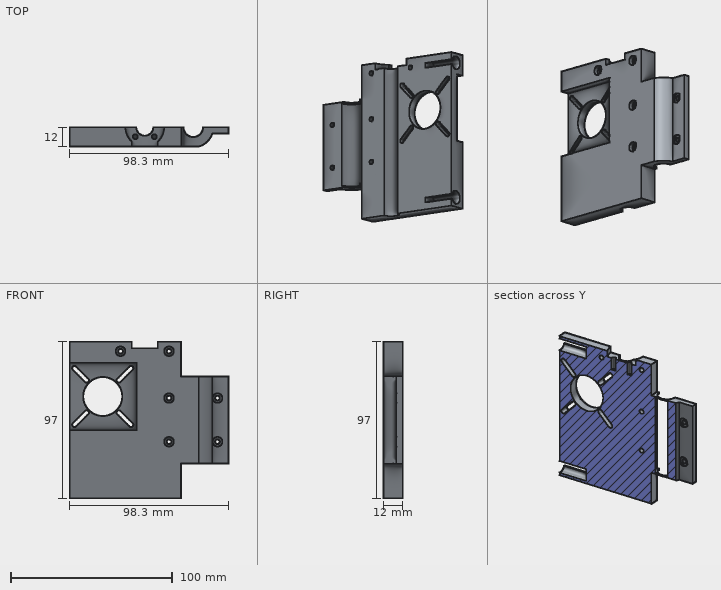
import cadquery as cq
import math

plate_width = 69.0
plate_height = 97.0
thickness = 12.0
overall_width = 98.34

wing_height = 54.0
wing_bottom = (plate_height - wing_height) / 2
wing_top = wing_bottom + wing_height
flange_thickness = 4.0
flange_front_y = thickness - flange_thickness
bearing_x = 76.5
bearing_shell_radius = 12.5
bearing_bore_diameter = 15.0
bearing_lip_diameter = 12.0
bearing_lip_height = 1.0

screw_x = 46.5
screw_groove_diameter = 10.4
nut_recess_diameter = 24.0
nut_recess_width = 16.0
nut_recess_depth = 4.0
nut_bolt_circle_diameter = 16.6
nut_bolt_hole_diameter = 3.0
nut_bolt_hole_depth = 8.0

motor_x = 20.5
motor_z = 63.0
motor_size = 42.0
motor_floor_thickness = 6.0
motor_bore_diameter = 24.0
slot_width = 2.8
slot_inner_offset = 10.0
slot_outer_offset = 17.5

rod_diameter = 8.2
rod_edge_distance = 6.0
rod_y = thickness - 4.8
rod_socket_depth = 20.0
rod_slit_width = 3.0

clamp_offset = 15.0
clamp_hole_diameter = 2.8
clamp_head_diameter = 6.0
plate_head_depth = 3.0
flange_head_depth = 1.0
clamp_top_z = plate_height - 6.0
clamp_upper_z = 62.0
clamp_lower_z = 35.0
plate_clamp_positions = [
    (screw_x - clamp_offset, clamp_top_z),
    (screw_x + clamp_offset, clamp_top_z),
    (bearing_x - clamp_offset, clamp_upper_z),
    (bearing_x - clamp_offset, clamp_lower_z),
]
flange_clamp_positions = [
    (bearing_x + clamp_offset, clamp_upper_z),
    (bearing_x + clamp_offset, clamp_lower_z),
]


def box(x_min, x_max, y_min, y_max, z_min, z_max):
    """Box between the given limits."""
    size = (x_max - x_min, y_max - y_min, z_max - z_min)
    return cq.Workplane("XY").box(*size, centered=False).translate((x_min, y_min, z_min))


def cylinder_x(diameter, length, y, z):
    """Cylinder along +X that starts at the left side."""
    return cq.Workplane("YZ").center(y, z).circle(diameter / 2).extrude(length)


def cylinder_y(diameter, x, z, y_min, y_max):
    """Cylinder along Y between two depths."""
    front = cq.Workplane("XZ", origin=(x, y_min, z))
    return front.circle(diameter / 2).extrude(y_min - y_max)


def cylinder_z(diameter, x, y, z_min, z_max):
    """Cylinder along Z between two heights."""
    base = cq.Workplane("XY", origin=(x, y, z_min))
    return base.circle(diameter / 2).extrude(z_max - z_min)


def make_wing():
    """Rounded bearing shell with a thin screw flange, flush with the back face."""
    shell = cylinder_z(2 * bearing_shell_radius, bearing_x, thickness, wing_bottom, wing_top)
    shell_limits = box(plate_width, overall_width, 0, thickness, wing_bottom, wing_top)
    shell = shell.intersect(shell_limits)
    web = box(plate_width, bearing_x, 0, thickness, wing_bottom, wing_top)
    flange = box(bearing_x, overall_width, flange_front_y, thickness, wing_bottom, wing_top)
    return shell.union(web).union(flange)


def make_bearing_seat():
    """Bearing bore between two end lips, with a smaller bore through the lips."""
    seat_bottom = wing_bottom + bearing_lip_height
    seat_top = wing_top - bearing_lip_height
    bore = cylinder_z(bearing_bore_diameter, bearing_x, thickness, seat_bottom, seat_top)
    lip_bore = cylinder_z(bearing_lip_diameter, bearing_x, thickness, wing_bottom, wing_top)
    return bore.union(lip_bore)


def make_screw_recess():
    """Lead screw groove over the full height, nut recess and nut bolt holes at the top."""
    groove = cylinder_z(screw_groove_diameter, screw_x, thickness, 0, plate_height)
    floor_z = plate_height - nut_recess_depth
    recess = cylinder_z(nut_recess_diameter, screw_x, thickness, floor_z, plate_height)
    half_width = nut_recess_width / 2
    slot = box(screw_x - half_width, screw_x + half_width, 0, thickness, floor_z, plate_height)
    cutter = groove.union(recess).union(slot)
    bolt_offset = nut_bolt_circle_diameter / 2 * math.sqrt(0.5)
    for side in (-1, 1):
        hole_x = screw_x + side * bolt_offset
        hole_y = thickness - bolt_offset
        hole_bottom = floor_z - nut_bolt_hole_depth
        cutter = cutter.union(cylinder_z(nut_bolt_hole_diameter, hole_x, hole_y, hole_bottom, floor_z))
    return cutter


def make_motor_mount():
    """Square pocket, round bore and four diagonal adjustment slots."""
    half_size = motor_size / 2
    pocket_depth = thickness - motor_floor_thickness
    cutter = box(
        motor_x - half_size, motor_x + half_size, 0, pocket_depth, motor_z - half_size, motor_z + half_size
    )
    cutter = cutter.union(cylinder_y(motor_bore_diameter, motor_x, motor_z, 0, thickness))
    slot_length = (slot_outer_offset - slot_inner_offset) * math.sqrt(2) + slot_width
    slot_middle = (slot_outer_offset + slot_inner_offset) / 2
    for side_x in (-1, 1):
        for side_z in (-1, 1):
            centre = (motor_x + side_x * slot_middle, 0, motor_z + side_z * slot_middle)
            slot = cq.Workplane("XZ", origin=centre).slot2D(slot_length, slot_width, 45 * side_x * side_z)
            cutter = cutter.union(slot.extrude(-thickness))
    return cutter


def make_rod_socket(z):
    """Blind guide rod socket with a slit to the back face."""
    half_slit = rod_slit_width / 2
    socket = cylinder_x(rod_diameter, rod_socket_depth, rod_y, z)
    slit = box(0, rod_socket_depth, rod_y, thickness, z - half_slit, z + half_slit)
    return socket.union(slit)


def make_clamp_hole(x, z, front_y, head_depth):
    """Through hole with a head counterbore sunk from the local front face."""
    hole = cylinder_y(clamp_hole_diameter, x, z, front_y, thickness)
    head = cylinder_y(clamp_head_diameter, x, z, front_y, front_y + head_depth)
    return hole.union(head)


body = box(0, plate_width, 0, thickness, 0, plate_height).union(make_wing())
body = body.cut(make_bearing_seat()).cut(make_screw_recess()).cut(make_motor_mount())
for rod_z in (rod_edge_distance, plate_height - rod_edge_distance):
    body = body.cut(make_rod_socket(rod_z))
for clamp_x, clamp_z in plate_clamp_positions:
    body = body.cut(make_clamp_hole(clamp_x, clamp_z, 0, plate_head_depth))
for clamp_x, clamp_z in flange_clamp_positions:
    body = body.cut(make_clamp_hole(clamp_x, clamp_z, flange_front_y, flange_head_depth))

result = body